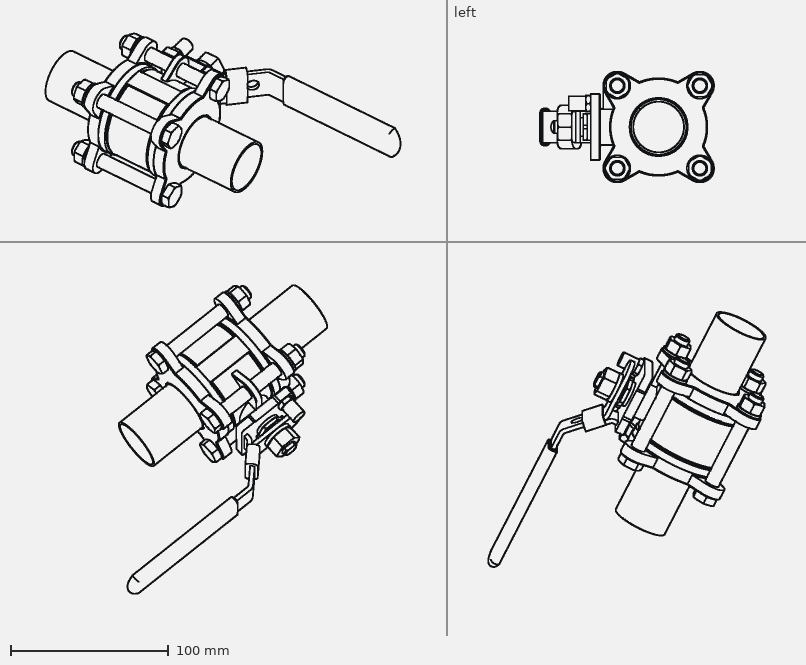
import cadquery as cq
import math


BORE_DIA = 32.0
TUBE_DIA = 35.0
TUBE_END = 72.0
HUB_DIA = 37.0
HUB_END = 32.0
HUB_FILLET = 1.4
FLANGE_DIA = 62.0
FLANGE_FACE = 29.8
FLANGE_INNER = 21.5
FLANGE_EDGE_CHAMFER = 0.6
LUG_INNER = 22.5
RING_DIA = 61.0
RING_INNER = 16.7
BODY_DIA = 59.4
BODY_HALF_LENGTH = 15.7
BODY_CHAMFER = 0.6
GROOVE_DIA = 57.4
PAD_TOP = 29.9
PAD_WIDTH = 14.0

BOLT_CIRCLE_DIA = 74.0
BOLT_OFFSET = BOLT_CIRCLE_DIA / 2 * math.cos(math.radians(45))
LUG_RADIUS = 9.0
LUG_TAPER = 15.0
BOLT_DIA = 9.5
BOLT_END = 42.5
BOLT_CHAMFER = 0.8
HEX_FLATS = 14.2
HEX_BEVEL = 0.6
HEAD_THICKNESS = 5.2
WASHER_DIA = 16.5
WASHER_THICKNESS = 1.6
NUT_THICKNESS = 7.1
WEB_THICKNESS = 4.6
WEB_CHAMFER = 0.4

NECK_DIA = 23.0
NECK_FILLET = 0.8
PLATE_BOTTOM = 37.0
PLATE_TOP = 43.1
PLATE_SIZE = 42.0
PLATE_CORNER_RADIUS = 2.2
PLATE_CHAMFER = 0.7
PLATE_NOTCH_MOUTH = 22.0
PLATE_NOTCH_FLOOR = 19.0
PLATE_NOTCH_DEPTH = 1.0
COLLAR_DIA = 16.5
COLLAR_TOP = 45.3
LOCK_TOP = 47.9
LOCK_FLATS = 17.0
LOCK_TAB_WIDTH = 2.2
LOCK_TAB_REACH = 10.7
STEM_DIA = 11.5
STEM_TIP_DIA = 10.5
STEM_FLATS = 8.0
STEM_TOP = 66.6
STEM_CHAMFER = 0.8
LEVER_BOTTOM = 49.6
LEVER_THICKNESS = 2.9
LEVER_TOP = LEVER_BOTTOM + LEVER_THICKNESS
STEM_WASHER_DIA = 19.5
STEM_WASHER_TOP = 55.0
STEM_NUT_TOP = 63.9
STEM_NUT_FLATS = 17.0

PIN_CIRCLE_DIA = 42.0
PIN_OFFSET = PIN_CIRCLE_DIA / 2 * math.cos(math.radians(45))
PIN_DIA = 9.4
PIN_TOP = 57.0
PIN_NUT_FLATS = 10.3
PIN_NUT_TOP = 46.1

LEVER_WIDTH = 20.0
LEVER_BACK = 20.4
BEND_INNER_RADIUS = 2.0
BEND_OUTER_RADIUS = BEND_INNER_RADIUS + LEVER_THICKNESS
LEVER_BEND_X = 18.1
LEVER_SLOPE = 45.0
GRIP_THICKNESS = 6.5
GRIP_WIDTH = 23.8
GRIP_START = 51.1
GRIP_SIDE_END = 134.9
GRIP_TIP = 139.94
GRIP_CENTER = 72.0
GRIP_START_CHAMFER = 0.8
GRIP_ROUNDING = GRIP_THICKNESS / 2 - 0.02

HANG_HOLE_DIA = 8.0
HANG_HOLE_RISE = 13.8

SLIDER_LENGTH = 13.4
SLIDER_THICKNESS = 8.1
SLIDER_ROUNDING = SLIDER_THICKNESS / 2 - 0.02
SLIDER_WIDTH = 27.8
SLIDER_X = 23.8
SLIDER_Y = 56.6
TONGUE_X = 16.3
TONGUE_KNEE_Y = 47.5
TONGUE_BOTTOM = 36.4


def x_cylinder(dia, start, end, y=0.0, z=0.0):
    plane = cq.Plane(origin=(start, y, z), xDir=(0, 1, 0), normal=(1, 0, 0))
    return cq.Workplane(plane).circle(dia / 2).extrude(end - start)


def y_plane(height, x=0.0, z=0.0):
    """Plane facing +Y, with local x along X and local y along -Z."""
    return cq.Workplane(cq.Plane(origin=(x, height, z), xDir=(1, 0, 0), normal=(0, 1, 0)))


def y_cylinder(dia, bottom, top, x=0.0, z=0.0):
    return y_plane(bottom, x, z).circle(dia / 2).extrude(top - bottom)


def tapered_lug(start, end):
    """Rounded bolt lug at +Y +Z that widens towards the pipe axis."""
    def tangent_point(angle):
        direction = math.radians(angle)
        return (
            BOLT_OFFSET + LUG_RADIUS * math.cos(direction),
            BOLT_OFFSET + LUG_RADIUS * math.sin(direction),
        )

    upper_y, upper_z = tangent_point(135 - LUG_TAPER)
    tip = tangent_point(45)
    axis_z = upper_z - upper_y * math.tan(math.radians(45 - LUG_TAPER))
    plane = cq.Plane(origin=(start, 0, 0), xDir=(0, 1, 0), normal=(1, 0, 0))
    return (
        cq.Workplane(plane)
        .moveTo(0, axis_z)
        .lineTo(upper_y, upper_z)
        .threePointArc(tip, (upper_z, upper_y))
        .lineTo(axis_z, 0)
        .lineTo(0, 0)
        .close()
        .extrude(end - start)
    )


def bevelled_hex(plane, flats, height):
    """Hexagonal prism, one vertex along the plane's x, with its end corners turned off."""
    corner_dia = flats / math.cos(math.radians(30))
    prism = cq.Workplane(plane).polygon(6, corner_dia).extrude(height)
    turned = cq.Workplane(plane).circle(corner_dia / 2).extrude(height)
    return prism.intersect(turned.faces("|X or |Y").chamfer(HEX_BEVEL))


def around_pipe(shape):
    """Four copies of a shape, a quarter turn apart about the pipe axis."""
    copies = shape
    for turn in (90, 180, 270):
        copies = copies.union(shape.rotate((0, 0, 0), (1, 0, 0), turn))
    return copies


def flange_half():
    """Flange, ring, hub and tube on the -X side."""
    disc = x_cylinder(FLANGE_DIA, -FLANGE_FACE, -FLANGE_INNER)
    lugs = around_pipe(tapered_lug(-FLANGE_FACE, -LUG_INNER))
    flange = disc.union(lugs).faces("<X").chamfer(FLANGE_EDGE_CHAMFER)
    flange = flange.union(x_cylinder(RING_DIA, -FLANGE_INNER, -RING_INNER))
    hub_radius = HUB_DIA / 2
    hub = (
        cq.Workplane("XY")
        .moveTo(-HUB_END, 0)
        .lineTo(-HUB_END, hub_radius)
        .lineTo(-FLANGE_FACE - HUB_FILLET, hub_radius)
        .radiusArc((-FLANGE_FACE, hub_radius + HUB_FILLET), -HUB_FILLET)
        .lineTo(-FLANGE_FACE, 0)
        .close()
        .revolve(360, (0, 0, 0), (1, 0, 0))
    )
    return flange.union(hub).union(x_cylinder(TUBE_DIA, -TUBE_END, -HUB_END))


def flange_bolt():
    """Bolt at +Y +Z: head on the +X flange, washer and nut on the -X flange."""
    washer_end = -FLANGE_FACE - WASHER_THICKNESS
    nut_end = washer_end - NUT_THICKNESS

    def hex_along_x(start, length):
        plane = cq.Plane(origin=(start, BOLT_OFFSET, BOLT_OFFSET), xDir=(0, 0, 1), normal=(1, 0, 0))
        return bevelled_hex(plane, HEX_FLATS, length)

    head_end = FLANGE_FACE + HEAD_THICKNESS
    shank = x_cylinder(BOLT_DIA, -BOLT_END, head_end, BOLT_OFFSET, BOLT_OFFSET)
    shank = shank.faces("<X").chamfer(BOLT_CHAMFER)
    washer = x_cylinder(WASHER_DIA, washer_end, -FLANGE_FACE, BOLT_OFFSET, BOLT_OFFSET)
    nut = hex_along_x(nut_end, NUT_THICKNESS)
    head = hex_along_x(FLANGE_FACE, HEAD_THICKNESS)
    return shank.union(washer).union(nut).union(head)


def body():
    core = x_cylinder(GROOVE_DIA, -RING_INNER, RING_INNER)
    barrel = x_cylinder(BODY_DIA, -BODY_HALF_LENGTH, BODY_HALF_LENGTH).faces("|X").chamfer(BODY_CHAMFER)
    pad = cq.Workplane("XY").rect(2 * RING_INNER, PAD_WIDTH).extrude(PAD_TOP)
    lug = tapered_lug(-WEB_THICKNESS / 2, WEB_THICKNESS / 2).faces("|X").chamfer(WEB_CHAMFER)
    web_edge = BOLT_OFFSET + LUG_RADIUS
    web = cq.Workplane("XY").box(WEB_THICKNESS, web_edge, BOLT_OFFSET, centered=(True, False, False))
    return core.union(barrel).union(pad).union(lug).union(web)


def mounting_plate():
    """Notched square plate on the round neck of the body."""
    plate = y_plane(PLATE_BOTTOM).rect(PLATE_SIZE, PLATE_SIZE).extrude(PLATE_TOP - PLATE_BOTTOM)
    plate = plate.edges("|Y").fillet(PLATE_CORNER_RADIUS)
    plate = plate.faces("<Y").chamfer(PLATE_CHAMFER)
    notch_floor = PLATE_SIZE / 2 - PLATE_NOTCH_DEPTH
    notch = (
        y_plane(PLATE_BOTTOM)
        .moveTo(-PLATE_NOTCH_FLOOR / 2, notch_floor)
        .lineTo(PLATE_NOTCH_FLOOR / 2, notch_floor)
        .lineTo(PLATE_NOTCH_MOUTH / 2, PLATE_SIZE / 2)
        .lineTo(-PLATE_NOTCH_MOUTH / 2, PLATE_SIZE / 2)
        .close()
        .extrude(PLATE_TOP - PLATE_BOTTOM)
    )
    plate = plate.cut(notch).cut(notch.mirror("XY"))
    plate = plate.union(y_cylinder(NECK_DIA, BORE_DIA / 2, PLATE_BOTTOM))
    neck_corner = cq.selectors.NearestToPointSelector((0, PLATE_BOTTOM, 0))
    return plate.edges(neck_corner).fillet(NECK_FILLET)


def stem_stack():
    collar = y_cylinder(COLLAR_DIA, PLATE_TOP, COLLAR_TOP)
    lock = bevelled_hex(y_plane(COLLAR_TOP).plane, LOCK_FLATS, LOCK_TOP - COLLAR_TOP)
    tabs = y_plane(COLLAR_TOP).rect(2 * LOCK_TAB_REACH, LOCK_TAB_WIDTH).extrude(LOCK_TOP - COLLAR_TOP)
    stem = y_cylinder(STEM_DIA, PLATE_TOP, STEM_WASHER_TOP)
    tip = y_cylinder(STEM_TIP_DIA, PLATE_TOP, STEM_TOP).faces(">Y").chamfer(STEM_CHAMFER)
    tip = tip.intersect(y_plane(PLATE_TOP).rect(STEM_TIP_DIA, STEM_FLATS).extrude(STEM_TOP - PLATE_TOP))
    washer = y_cylinder(STEM_WASHER_DIA, LEVER_TOP, STEM_WASHER_TOP)
    nut_height = STEM_NUT_TOP - STEM_WASHER_TOP
    nut = bevelled_hex(y_plane(STEM_WASHER_TOP).plane, STEM_NUT_FLATS, nut_height)
    stack = collar
    for piece in (lock, tabs, stem, tip, washer, nut):
        stack = stack.union(piece)
    return stack


def stop_pin():
    pin = y_cylinder(PIN_DIA, PLATE_TOP, PIN_TOP, -PIN_OFFSET, PIN_OFFSET)
    nut_plane = y_plane(PLATE_TOP, -PIN_OFFSET, PIN_OFFSET).plane
    nut = bevelled_hex(nut_plane, PIN_NUT_FLATS, PIN_NUT_TOP - PLATE_TOP)
    return pin.union(nut)


def rounded_bend(strip, inner, outer):
    """Round both edges of a sheet bend, given the midpoints of the edges."""
    for edge_point, radius in ((inner, BEND_INNER_RADIUS), (outer, BEND_OUTER_RADIUS)):
        strip = strip.edges(cq.selectors.NearestToPointSelector(edge_point)).fillet(radius)
    return strip


def lever():
    """Flat strip bent up at 45 degrees and back to level inside the grip."""
    level_bottom = GRIP_CENTER - LEVER_THICKNESS / 2
    level_top = level_bottom + LEVER_THICKNESS
    level_end = GRIP_START + GRIP_THICKNESS
    upper_bend_x = LEVER_BEND_X + level_bottom - LEVER_BOTTOM
    bend_shift = LEVER_THICKNESS * math.tan(math.radians(LEVER_SLOPE / 2))
    back_center = LEVER_WIDTH / 2 - LEVER_BACK
    strip = (
        cq.Workplane("XY")
        .moveTo(back_center, LEVER_BOTTOM)
        .lineTo(LEVER_BEND_X, LEVER_BOTTOM)
        .lineTo(upper_bend_x, level_bottom)
        .lineTo(level_end, level_bottom)
        .lineTo(level_end, level_top)
        .lineTo(upper_bend_x - bend_shift, level_top)
        .lineTo(LEVER_BEND_X - bend_shift, LEVER_TOP)
        .lineTo(back_center, LEVER_TOP)
        .close()
        .extrude(LEVER_WIDTH / 2, both=True)
    )
    strip = rounded_bend(
        strip,
        inner=(LEVER_BEND_X - bend_shift, LEVER_TOP, 0),
        outer=(LEVER_BEND_X, LEVER_BOTTOM, 0),
    )
    strip = rounded_bend(
        strip,
        inner=(upper_bend_x, level_bottom, 0),
        outer=(upper_bend_x - bend_shift, level_top, 0),
    )
    strip = strip.union(y_cylinder(LEVER_WIDTH, LEVER_BOTTOM, LEVER_TOP, back_center))
    hole_origin = (LEVER_BEND_X + HANG_HOLE_RISE, LEVER_BOTTOM + HANG_HOLE_RISE, 0)
    hole_plane = cq.Plane(origin=hole_origin, xDir=(0, 0, 1), normal=(-1, 1, 0))
    return strip.cut(cq.Workplane(hole_plane).circle(HANG_HOLE_DIA / 2).extrude(LEVER_THICKNESS))


def grip():
    half = GRIP_WIDTH / 2
    base = y_plane(GRIP_CENTER - GRIP_THICKNESS / 2)
    blank = (
        base.moveTo(GRIP_START, -half)
        .lineTo(GRIP_SIDE_END, -half)
        .threePointArc((GRIP_TIP, 0), (GRIP_SIDE_END, half))
        .lineTo(GRIP_START, half)
        .close()
        .extrude(GRIP_THICKNESS)
    )
    rounded = blank.edges("(<Y or >Y) and (not <X)").fillet(GRIP_ROUNDING)
    return rounded.faces("<X").edges("not(<Z or >Z)").chamfer(GRIP_START_CHAMFER)


def sliding_lock():
    """Flat-sided slider with rounded sides on the sloping strip, and its tongue down to the plate."""
    slope = cq.Plane(origin=(SLIDER_X, SLIDER_Y, 0), xDir=(0, 0, 1), normal=(1, 1, 0))
    slider = (
        cq.Workplane(slope)
        .rect(SLIDER_WIDTH, SLIDER_THICKNESS)
        .extrude(SLIDER_LENGTH / 2, both=True)
    )
    slider = slider.edges(cq.selectors.ParallelDirSelector(slope.zDir)).fillet(SLIDER_ROUNDING)
    drop = SLIDER_Y - TONGUE_KNEE_Y
    inner_shift = LEVER_THICKNESS * math.tan(math.radians(LEVER_SLOPE / 2))
    tongue_outer = TONGUE_X + LEVER_THICKNESS
    tongue = (
        cq.Workplane("XY")
        .moveTo(TONGUE_X, TONGUE_BOTTOM)
        .lineTo(TONGUE_X, TONGUE_KNEE_Y)
        .lineTo(TONGUE_X + drop, SLIDER_Y)
        .lineTo(tongue_outer + drop, SLIDER_Y - inner_shift)
        .lineTo(tongue_outer, TONGUE_KNEE_Y - inner_shift)
        .lineTo(tongue_outer, TONGUE_BOTTOM)
        .close()
        .extrude(LEVER_WIDTH / 2, both=True)
    )
    tongue = rounded_bend(
        tongue,
        inner=(tongue_outer, TONGUE_KNEE_Y - inner_shift, 0),
        outer=(TONGUE_X, TONGUE_KNEE_Y, 0),
    )
    return slider.union(tongue)


result = flange_half()
result = result.union(flange_half().mirror("YZ"))
result = result.union(body())
result = result.cut(x_cylinder(BORE_DIA, -TUBE_END, TUBE_END))
attached_parts = (
    around_pipe(flange_bolt()),
    mounting_plate(),
    stem_stack(),
    stop_pin(),
    lever(),
    grip(),
    sliding_lock(),
)
for part in attached_parts:
    result = result.union(part)